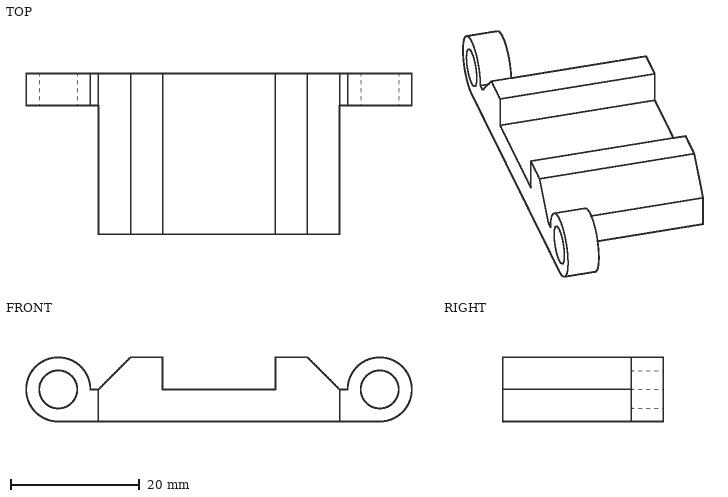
import cadquery as cq

total_length = 60.0
depth = 25.0
height = 10.0
block_length = 37.5
channel_length = 17.5
eye_bore = 5.9

half_height = height / 2
eye_radius = height / 2
eye_center_x = total_length / 2 - eye_radius
ear_thickness = depth / 5
half_block = block_length / 2
half_channel = channel_length / 2
chamfer_run = (half_block - half_channel) / 2
half_ridge_outer = half_block - chamfer_run


def make_block():
    """Channelled block with sloped outer shoulders, extruded from y = 0 to y = depth."""
    return (
        cq.Workplane("XZ")
        .moveTo(-half_block, 0)
        .lineTo(half_block, 0)
        .lineTo(half_block, half_height)
        .lineTo(half_ridge_outer, height)
        .lineTo(half_channel, height)
        .lineTo(half_channel, half_height)
        .lineTo(-half_channel, half_height)
        .lineTo(-half_channel, height)
        .lineTo(-half_ridge_outer, height)
        .lineTo(-half_block, half_height)
        .close()
        .extrude(-depth)
    )


def make_ear(side):
    """Bored eye with a half-height web to the block; side is -1 (left) or 1 (right)."""
    back_plane = cq.Workplane("XZ", origin=(0, depth, 0))
    eye = back_plane.center(side * eye_center_x, eye_radius).circle(eye_radius).extrude(ear_thickness)
    web_length = eye_center_x - half_block
    web_center_x = half_block + web_length / 2
    web = (
        back_plane.center(side * web_center_x, half_height / 2)
        .rect(web_length, half_height)
        .extrude(ear_thickness)
    )
    bore = back_plane.center(side * eye_center_x, eye_radius).circle(eye_bore / 2).extrude(ear_thickness)
    return eye.union(web).cut(bore)


result = make_block()
for side in (-1, 1):
    result = result.union(make_ear(side))